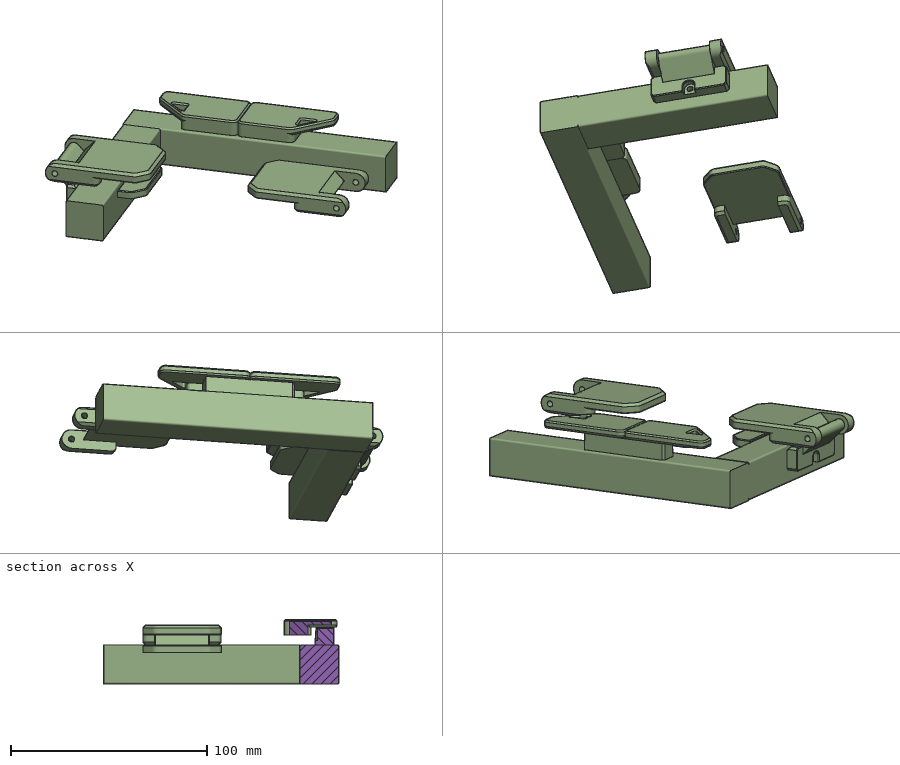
import cadquery as cq
import math

BAR = 20.0
BAR_ROUND = 1.0
FRAME_LEFT = -63.0
SIDE_LENGTH = 100.0
BACK_LENGTH = 140.0
FRAME_DEPTH = SIDE_LENGTH + BAR

HANDLE_WIDTH = 40.0
HANDLE_MID_Y = 40.0
HANDLE_FRONT = HANDLE_MID_Y - HANDLE_WIDTH / 2
HANDLE_THICK = 10.0
HANDLE_BOTTOM = BAR
HANDLE_TOP = HANDLE_BOTTOM + HANDLE_THICK
PIVOT_RADIUS = HANDLE_THICK / 2
PIVOT_Z = HANDLE_BOTTOM + PIVOT_RADIUS
HANDLE_OUTER = -80.0
PIVOT_X = HANDLE_OUTER + PIVOT_RADIUS
PIVOT_HOLE = 3.0
HANDLE_INNER = -26.0
ARM_END = -51.8
ARM_END_ROUND = 2.9
SLAB_BOTTOM = PIVOT_Z
SLOT_WIDTH = 28.0
SLOT_END = -63.8
HANDLE_BEVEL = 1.5
CORNER_CUT = 6.0
CORNER_ROUND = 3.5
UNDER_BEVEL = 0.5

HINGE_FACE = -69.0
HINGE_BOTTOM = 6.9
HINGE_TOP = 19.4
HINGE_CORNER = 1.3
HINGE_EDGE = 0.5
BARREL_DIAMETER = 6.0
LEAF_WIDTH = 27.4
SCREW_HOLE = 3.0
SCREW_Z = BAR / 2
SEAT_WIDTH = 6.0
SEAT_DEPTH = 3.0
SEAT_BEVEL = 0.5

PAD_LEFT = -41.6
PAD_RIGHT = -28.0
PAD_BOTTOM = 16.2
PAD_TOP = BAR
PAD_BEVEL = 0.5

LATCH_TOP = 33.0
LATCH_PLATE = 3.8
LATCH_UNDER = LATCH_TOP - LATCH_PLATE
LATCH_LENGTH = 46.7
LATCH_FRONT = 92.0
LATCH_BACK = 119.0
LATCH_CUT = 17.8
LATCH_ROUND = 3.0
LATCH_BEVEL = 0.8
LATCH_SKIRT = 1.0
LATCH_SKIRT_INSET = 0.3
GRIP_LENGTH = 30.2
GRIP_BACK = 105.8
GRIP_BOTTOM = 25.0
GRIP_BACK_ROUND = 1.6
WINDOW_LEG = 8.6
WINDOW_ROUND = 0.6

KEEPER_HALF = 23.0
KEEPER_FRONT = 107.7
KEEPER_BACK = 117.5
KEEPER_TOP = 28.6
KEEPER_DRAFT = 3.7
KEEPER_CHAMFER = 1.1
NOTCH_DIAMETER = 6.0
NOTCH_CHORD = 4.6
NOTCH_FLOOR = 22.4


def box(x0, x1, y0, y1, z0, z1):
    return cq.Workplane("XY").box(x1 - x0, y1 - y0, z1 - z0, centered=False).translate((x0, y0, z0))


def along_y(draw_outline, y0, y1):
    """Extrude an outline, drawn in X and Z by the given function, from y0 to y1."""
    plane = cq.Workplane("XZ", origin=(0, y0, 0))
    return draw_outline(plane).extrude(y0 - y1)


def make_frame():
    side = box(FRAME_LEFT, FRAME_LEFT + BAR, 0, SIDE_LENGTH, 0, BAR).edges("|Y").fillet(BAR_ROUND)
    back = box(FRAME_LEFT, FRAME_LEFT + BACK_LENGTH, SIDE_LENGTH, FRAME_DEPTH, 0, BAR)
    back = back.edges("|X").fillet(BAR_ROUND)
    return side.union(back)


def cut_corner_prism(x0, x1, z0, z1):
    """Plate across the handle width whose two right-hand corners are cut and rounded."""
    prism = box(x0, x1, HANDLE_FRONT, HANDLE_FRONT + HANDLE_WIDTH, z0, z1)
    prism = prism.edges("|Z and >X").chamfer(CORNER_CUT)
    cut_ends = cq.selectors.BoxSelector(
        (x1 - CORNER_CUT - 0.2, HANDLE_FRONT - 1.6, z0), (x1 + 1.6, HANDLE_FRONT + HANDLE_WIDTH + 1.6, z1)
    )
    return prism.edges("|Z").edges(cut_ends).fillet(CORNER_ROUND)


def make_left_handle():
    y0 = HANDLE_FRONT
    y1 = y0 + HANDLE_WIDTH
    slot_front = HANDLE_MID_Y - SLOT_WIDTH / 2
    slot_back = slot_front + SLOT_WIDTH

    slab = cut_corner_prism(HANDLE_OUTER, HANDLE_INNER, SLAB_BOTTOM, HANDLE_TOP)
    slab = slab.faces(">Z").edges("not <X").chamfer(HANDLE_BEVEL)
    slab = slab.faces("<Z").edges("not <X").chamfer(UNDER_BEVEL)

    arm_top = SLAB_BOTTOM + UNDER_BEVEL
    arms = box(HANDLE_OUTER, ARM_END, y0, y1, HANDLE_BOTTOM, arm_top)
    arms = arms.edges("|Z and >X").fillet(ARM_END_ROUND)
    arms = arms.faces("<Z").edges("not <X").chamfer(HANDLE_BEVEL)
    arms = arms.cut(box(HANDLE_OUTER, ARM_END, slot_front, slot_back, HANDLE_BOTTOM, arm_top))

    ramp_run = HANDLE_TOP - SLAB_BOTTOM
    slot = along_y(
        lambda plane: plane.polyline(
            [
                (HANDLE_OUTER, SLAB_BOTTOM),
                (SLOT_END - ramp_run, SLAB_BOTTOM),
                (SLOT_END, HANDLE_TOP),
                (HANDLE_OUTER, HANDLE_TOP),
            ]
        ).close(),
        slot_front,
        slot_back,
    )

    round_end = along_y(
        lambda plane: plane.moveTo(HANDLE_INNER, HANDLE_BOTTOM)
        .lineTo(PIVOT_X, HANDLE_BOTTOM)
        .threePointArc((HANDLE_OUTER, PIVOT_Z), (PIVOT_X, HANDLE_TOP))
        .lineTo(HANDLE_INNER, HANDLE_TOP)
        .close(),
        y0,
        y1,
    )
    hole = along_y(lambda plane: plane.center(PIVOT_X, PIVOT_Z).circle(PIVOT_HOLE / 2), y0, y1)
    return slab.union(arms).cut(slot).intersect(round_end).cut(hole)


def screw_seat(radius):
    """Arch outline on the hinge plate face, round around the screw and open at the bottom."""
    foot = HINGE_BOTTOM - SCREW_Z - SEAT_BEVEL
    return (
        cq.Workplane("YZ", origin=(HINGE_FACE, HANDLE_MID_Y, SCREW_Z))
        .moveTo(-radius, foot)
        .lineTo(-radius, 0)
        .threePointArc((0, radius), (radius, 0))
        .lineTo(radius, foot)
        .close()
    )


def make_hinge():
    y0 = HANDLE_FRONT
    y1 = y0 + HANDLE_WIDTH
    leaf_front = HANDLE_MID_Y - LEAF_WIDTH / 2
    leaf_back = leaf_front + LEAF_WIDTH
    radius = BARREL_DIAMETER / 2
    tangent = radius * math.sqrt(0.5)
    upper_level = PIVOT_X + PIVOT_Z + 2 * tangent
    lower_level = PIVOT_X + PIVOT_Z - 2 * tangent

    plate = box(HINGE_FACE, FRAME_LEFT, y0, y1, HINGE_BOTTOM, HINGE_TOP)
    plate = plate.edges("|X").chamfer(HINGE_CORNER)
    plate = plate.faces("<X").chamfer(HINGE_EDGE)
    above_leaf = along_y(
        lambda plane: plane.polyline(
            [
                (FRAME_LEFT, upper_level - FRAME_LEFT),
                (FRAME_LEFT, HINGE_TOP),
                (upper_level - HINGE_TOP, HINGE_TOP),
            ]
        ).close(),
        y0,
        y1,
    )

    leaf = along_y(
        lambda plane: plane.polyline(
            [
                (PIVOT_X - tangent, PIVOT_Z - tangent),
                (PIVOT_X + tangent, PIVOT_Z + tangent),
                (FRAME_LEFT, upper_level - FRAME_LEFT),
                (FRAME_LEFT, lower_level - HINGE_FACE),
                (HINGE_FACE, lower_level - HINGE_FACE),
            ]
        ).close(),
        leaf_front,
        leaf_back,
    )
    barrel = along_y(lambda plane: plane.center(PIVOT_X, PIVOT_Z).circle(radius), leaf_front, leaf_back)
    pin_hole = along_y(
        lambda plane: plane.center(PIVOT_X, PIVOT_Z).circle(PIVOT_HOLE / 2), leaf_front, leaf_back
    )

    seat = screw_seat(SEAT_WIDTH / 2).extrude(SEAT_DEPTH)
    seat_bevel = screw_seat(SEAT_WIDTH / 2 + SEAT_BEVEL).extrude(SEAT_BEVEL, taper=45)
    screw = (
        cq.Workplane("YZ", origin=(HINGE_FACE, HANDLE_MID_Y, SCREW_Z))
        .circle(SCREW_HOLE / 2)
        .extrude(FRAME_LEFT - HINGE_FACE)
    )

    hinge = plate.cut(above_leaf).union(leaf).union(barrel)
    return hinge.cut(pin_hole).cut(seat).cut(seat_bevel).cut(screw)


def make_pad():
    pad = cut_corner_prism(PAD_LEFT, PAD_RIGHT, PAD_BOTTOM, PAD_TOP)
    return pad.faces(">Z").chamfer(PAD_BEVEL)


def latch_outline(z):
    """Sketch of the latch plate: a rectangle with its front outer corner cut off."""
    return (
        cq.Workplane("XY", origin=(0, 0, z))
        .moveTo(0, LATCH_FRONT)
        .lineTo(0, LATCH_BACK)
        .lineTo(-LATCH_LENGTH, LATCH_BACK)
        .lineTo(-LATCH_LENGTH, LATCH_FRONT + LATCH_CUT)
        .lineTo(LATCH_CUT - LATCH_LENGTH, LATCH_FRONT)
        .close()
    )


def make_latch_plate():
    plate = latch_outline(LATCH_UNDER + LATCH_SKIRT).extrude(LATCH_PLATE - LATCH_SKIRT)
    cut_ends = cq.selectors.BoxSelector(
        (-LATCH_LENGTH - 1.6, LATCH_FRONT - 1.6, 0), (-1.6, LATCH_BACK - 1.6, LATCH_TOP + 1.6)
    )
    plate = plate.edges("|Z").edges(cut_ends).fillet(CORNER_ROUND)
    plate = plate.edges("|Z").edges(">Y or >X").fillet(LATCH_ROUND)
    underside = plate.faces("<Z").wires().toPending()
    skirt_taper = math.degrees(math.atan2(LATCH_SKIRT_INSET, LATCH_SKIRT))
    skirt = underside.workplane().extrude(LATCH_SKIRT, combine=False, taper=skirt_taper)
    return plate.faces(">Z").chamfer(LATCH_BEVEL).union(skirt)


def make_grip():
    grip = box(-GRIP_LENGTH, 0, LATCH_FRONT, GRIP_BACK, GRIP_BOTTOM, LATCH_UNDER + LATCH_SKIRT)
    grip = grip.edges("|Z and <Y").fillet(LATCH_ROUND)
    return grip.edges("|Z and >Y").fillet(GRIP_BACK_ROUND)


def make_window():
    """Triangular cutter fitted into the corner between the grip end and its back."""
    window = (
        cq.Workplane("XY", origin=(-GRIP_LENGTH, GRIP_BACK, LATCH_UNDER))
        .polyline([(0, 0), (-WINDOW_LEG, 0), (0, -WINDOW_LEG)])
        .close()
        .extrude(LATCH_PLATE - LATCH_BEVEL)
        .edges("|Z")
        .fillet(WINDOW_ROUND)
    )
    rim = window.faces(">Z").wires().toPending().workplane()
    return window.union(rim.extrude(LATCH_BEVEL, combine=False, taper=-45))


def make_left_latch():
    return make_latch_plate().union(make_grip()).cut(make_window())


def make_keeper():
    height = KEEPER_TOP - BAR
    lean = height * math.tan(math.radians(KEEPER_DRAFT))
    post = (
        cq.Workplane("YZ", origin=(-KEEPER_HALF, 0, 0))
        .polyline(
            [
                (KEEPER_FRONT, BAR),
                (KEEPER_BACK, BAR),
                (KEEPER_BACK, KEEPER_TOP),
                (KEEPER_FRONT + lean, KEEPER_TOP),
            ]
        )
        .close()
        .extrude(2 * KEEPER_HALF)
    )
    post = post.edges("|Z and <X").chamfer(KEEPER_CHAMFER)
    radius = NOTCH_DIAMETER / 2
    notch_inset = math.sqrt(radius**2 - (NOTCH_CHORD / 2) ** 2)
    notch_y = KEEPER_FRONT + lean / 2 - notch_inset
    notch = (
        cq.Workplane("XY", origin=(0, notch_y, NOTCH_FLOOR)).circle(radius).extrude(KEEPER_TOP - NOTCH_FLOOR)
    )
    return post.cut(notch)


def mirrored(body):
    return body.mirror("YZ")


frame = make_frame()
hinge = make_hinge()
pad = make_pad()
keeper = make_keeper()
left_handle = make_left_handle()
left_latch = make_left_latch()

result = cq.Compound.makeCompound(
    [
        frame.val(),
        hinge.val(),
        pad.val(),
        keeper.val(),
        left_handle.val(),
        mirrored(left_handle).val(),
        left_latch.val(),
        mirrored(left_latch).val(),
    ]
)